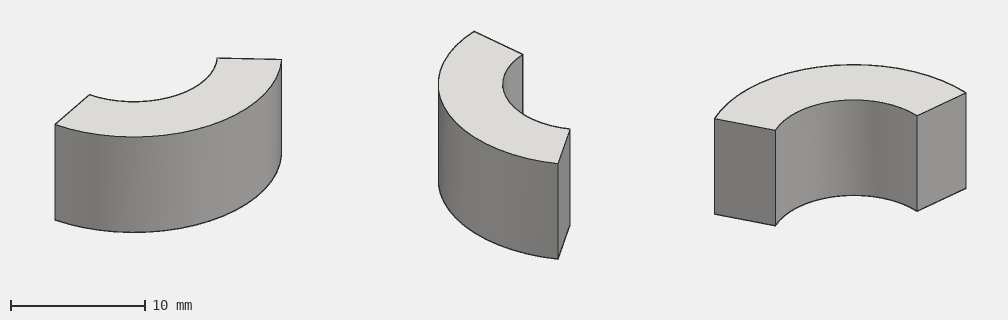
import cadquery as cq
import math

outer_chord = 19.05
inner_radius = 6.2
height = 8.5
sweep_angle = 120.0

half_angle = math.radians(sweep_angle / 2)
outer_radius = outer_chord / 2 / math.sin(half_angle)


def arc_point(radius, angle):
    """Point at the given radius and angle around the ring axis."""
    return (radius * math.cos(angle), radius * math.sin(angle))


result = (
    cq.Workplane("XY")
    .moveTo(*arc_point(inner_radius, -half_angle))
    .lineTo(*arc_point(outer_radius, -half_angle))
    .threePointArc(arc_point(outer_radius, 0), arc_point(outer_radius, half_angle))
    .lineTo(*arc_point(inner_radius, half_angle))
    .threePointArc(arc_point(inner_radius, 0), arc_point(inner_radius, -half_angle))
    .close()
    .extrude(height)
)